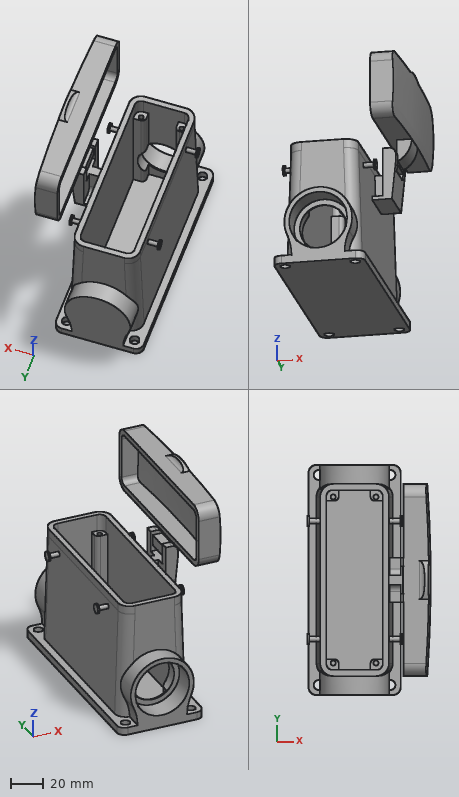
import cadquery as cq
import math

base_width = 57.8
base_length = 144.0
base_height = 5.2
base_corner_radius = 5.2
mount_hole_diameter = 6.0
mount_hole_x = 22.4
mount_hole_y = 65.6

body_length = 120.0
rim_width = 43.0
foot_width = 47.7
body_top = 83.8
rim_bottom = 78.4
corner_radius = 8.0
wall = 3.8
cavity_width = rim_width - 2 * wall
cavity_length = body_length - 2 * wall
cavity_radius = corner_radius - wall

column_width = 7.8
column_length = 6.8
column_radius = 2.9
column_top = 72.3
screw_hole_diameter = 3.2
screw_hole_depth = 11.5
screw_inset = 4.3

port_radius = 21.7
port_z = 27.2
port_flare_radius = 31.8
port_bore_radius = 18.5
port_bore_depth = 14.9
port_hole_radius = 14.9

pin_y = 36.9
pin_z = 73.7
pin_tip = 29.6
pin_radius = 1.6
pin_head_radius = 3.2
pin_head_length = 1.2

lid_front = 30.5
lid_crown = 47.7
lid_height = 43.1
lid_bottom = 99.0
lid_z = lid_bottom + lid_height / 2
lid_top = lid_bottom + lid_height
lid_crown_radius = 173.5
lid_end_sag = 2.2

tab_half_width = 12.0
tab_top = 144.5
tab_start = 40.5
tab_edge = 43.8
tab_ramp_radius = 3.6

bracket_half_width = 14.0
bracket_front = 28.8
bracket_back = 37.3
bracket_foot_back = 34.7
bracket_bottom = 58.5
bracket_top = 92.4
bracket_bend_z = 84.5
bracket_round = 4.3
slot_half_width = 8.7
slot_floor = 78.2
shelf_height = 2.3
web_half_width = 3.0
web_fillet = 4.0
arm_front = 36.6
arm_back = 46.3
arm_tip_z = 84.4
arm_curve_middle = (43.4, 90.2)
knuckle_front = 30.0
knuckle_bottom = 82.4
knuckle_top = 89.6


def rounded_box(width, length, height, radius, z):
    box = cq.Workplane("XY").box(width, length, height, centered=(True, True, False))
    return box.edges("|Z").fillet(radius).translate((0, 0, z))


def block(x_range, y_range, z_range):
    size = [high - low for low, high in (x_range, y_range, z_range)]
    corner = (x_range[0], y_range[0], z_range[0])
    return cq.Workplane("XY").box(*size, centered=False).translate(corner)


def side_prism(profile, half_width):
    """Extrude an XZ profile symmetrically about the Y = 0 plane."""
    return profile.extrude(half_width, both=True)


def make_base():
    base = rounded_box(base_width, base_length, base_height, base_corner_radius, 0)
    corners = [(sx * mount_hole_x, sy * mount_hole_y) for sx in (-1, 1) for sy in (-1, 1)]
    holes = cq.Workplane("XY").pushPoints(corners).circle(mount_hole_diameter / 2).extrude(base_height)
    return base.cut(holes)


def make_shell():
    half_foot = foot_width / 2
    half_rim = rim_width / 2
    profile = (
        cq.Workplane("XZ")
        .moveTo(-half_foot, base_height)
        .lineTo(half_foot, base_height)
        .lineTo(half_rim, rim_bottom)
        .lineTo(half_rim, body_top)
        .lineTo(-half_rim, body_top)
        .lineTo(-half_rim, rim_bottom)
        .close()
    )
    upright_edges = "not(|X or |Y)"
    return side_prism(profile, body_length / 2).edges(upright_edges).fillet(corner_radius)


def make_ports():
    """One long prism: a round barrel flaring into a pedestal on the base plate."""
    flare_angle = math.asin((port_z - base_height) / (port_radius + port_flare_radius))
    flare_x = (port_radius + port_flare_radius) * math.cos(flare_angle)
    foot_x = flare_x - port_flare_radius
    touch_x = port_radius * math.cos(flare_angle)
    touch_z = port_z - port_radius * math.sin(flare_angle)
    middle_x = flare_x - port_flare_radius * math.cos(flare_angle / 2)
    middle_z = base_height + port_flare_radius * math.sin(flare_angle / 2)
    return (
        cq.Workplane("XZ")
        .moveTo(-foot_x, 0)
        .lineTo(foot_x, 0)
        .lineTo(foot_x, base_height)
        .threePointArc((middle_x, middle_z), (touch_x, touch_z))
        .threePointArc((0, port_z + port_radius), (-touch_x, touch_z))
        .threePointArc((-middle_x, middle_z), (-foot_x, base_height))
        .close()
        .extrude(base_length / 2, both=True)
    )


def make_columns():
    columns = cq.Workplane("XY")
    for sx in (-1, 1):
        for sy in (-1, 1):
            x_edge = sx * cavity_width / 2
            y_edge = sy * cavity_length / 2
            column = (
                cq.Workplane("XY")
                .box(column_width, column_length, column_top - base_height, centered=(True, True, False))
                .edges("|Z")
                .edges("<X" if sx > 0 else ">X")
                .edges("<Y" if sy > 0 else ">Y")
                .fillet(column_radius)
                .translate((x_edge - sx * column_width / 2, y_edge - sy * column_length / 2, base_height))
            )
            hole = (
                cq.Workplane("XY", origin=(x_edge - sx * screw_inset, y_edge - sy * screw_inset, column_top))
                .circle(screw_hole_diameter / 2)
                .extrude(-screw_hole_depth)
            )
            columns = columns.add(column.cut(hole))
    return columns.combine()


def make_cable_entry():
    """Counterbored opening through the -Y port, also hollowing the columns beside it."""
    hole_depth = (base_length - cavity_length) / 2 + column_length
    start = cq.Workplane("XZ", origin=(0, -base_length / 2, port_z))
    bore = start.circle(port_bore_radius).extrude(-port_bore_depth)
    hole = start.circle(port_hole_radius).extrude(-hole_depth)
    return bore.union(hole)


def make_pin(side, y):
    root = side * cavity_width / 2
    shaft = cq.Workplane("YZ", origin=(root, y, pin_z)).circle(pin_radius).extrude(side * pin_tip - root)
    head = (
        cq.Workplane("YZ", origin=(side * pin_tip, y, pin_z))
        .circle(pin_head_radius)
        .extrude(-side * pin_head_length)
    )
    return shaft.union(head)


def crowned_solid(crown_x):
    """Solid of revolution whose +X side is the doubly curved back of the lid."""
    half = body_length / 2
    axis_x = lid_crown - lid_crown_radius
    return (
        cq.Workplane("XY", origin=(axis_x, 0, lid_z))
        .moveTo(0, -half)
        .lineTo(crown_x - lid_end_sag - axis_x, -half)
        .threePointArc((crown_x - axis_x, 0), (crown_x - lid_end_sag - axis_x, half))
        .lineTo(0, half)
        .close()
        .revolve(360, (0, 0, 0), (0, 1, 0))
    )


def lid_block(margin):
    return (
        cq.Workplane("YZ", origin=(lid_front, 0, lid_z))
        .rect(body_length - 2 * margin, lid_height - 2 * margin)
        .extrude(lid_crown - lid_front)
        .edges("|X")
        .fillet(corner_radius - margin)
    )


def make_thumb_tab():
    arch = (
        cq.Workplane("YZ", origin=(tab_start, 0, 0))
        .moveTo(-tab_half_width, lid_top)
        .threePointArc((0, tab_top), (tab_half_width, lid_top))
        .lineTo(tab_half_width, lid_z)
        .lineTo(-tab_half_width, lid_z)
        .close()
        .extrude(lid_crown - tab_start)
    )
    ramp = side_prism(
        cq.Workplane("XZ")
        .moveTo(tab_start, lid_top)
        .radiusArc((tab_edge, tab_top), -tab_ramp_radius)
        .lineTo(tab_start, tab_top)
        .close(),
        tab_half_width,
    )
    return arch.cut(ramp)


def make_lid():
    back = crowned_solid(lid_crown)
    shell = lid_block(0).union(make_thumb_tab()).intersect(back)
    pocket = lid_block(wall).intersect(crowned_solid(lid_crown - wall))
    return shell.cut(pocket)


def make_bracket():
    profile = (
        cq.Workplane("XZ")
        .moveTo(bracket_front, bracket_bottom)
        .lineTo(bracket_foot_back, bracket_bottom)
        .lineTo(bracket_back, bracket_bend_z)
        .lineTo(bracket_back, bracket_top - bracket_round)
        .radiusArc((bracket_back - bracket_round, bracket_top), -bracket_round)
        .lineTo(bracket_front, bracket_top)
        .close()
    )
    slot = block(
        (bracket_front, bracket_back),
        (-slot_half_width, slot_half_width),
        (slot_floor, bracket_top),
    )
    return side_prism(profile, bracket_half_width).cut(slot)


def make_bracket_support():
    """Shelf and upright web, joined by fillets, between the housing wall and the bracket."""
    start = cavity_width / 2
    shelf_top = bracket_bottom + shelf_height
    shelf = block(
        (start, bracket_front),
        (-bracket_half_width, bracket_half_width),
        (bracket_bottom, shelf_top),
    )
    web = block((start, bracket_front), (-web_half_width, web_half_width), (shelf_top, slot_floor))
    support = shelf.union(web)
    inner_corners = cq.selectors.BoxSelector(
        (start, -web_half_width - shelf_height, shelf_top - shelf_height / 2),
        (bracket_front, web_half_width + shelf_height, shelf_top + shelf_height / 2),
    )
    return support.edges("|X").edges(inner_corners).fillet(web_fillet)


def make_lid_arm():
    """Curved arm hanging from the lid, with a knuckle held between the bracket cheeks."""
    arm_root = lid_bottom + wall
    arm = (
        cq.Workplane("XZ")
        .moveTo(arm_front, arm_root)
        .lineTo(arm_back, lid_bottom)
        .threePointArc(arm_curve_middle, (arm_front, arm_tip_z))
        .close()
    )
    knuckle = block(
        (knuckle_front, bracket_back),
        (-slot_half_width, slot_half_width),
        (knuckle_bottom, knuckle_top),
    )
    return side_prism(arm, slot_half_width).union(knuckle)


cavity = rounded_box(cavity_width, cavity_length, body_top - base_height, cavity_radius, base_height)
result = make_shell().union(make_ports()).union(make_bracket_support()).union(make_base())
for side in (-1, 1):
    for pin_place in (-pin_y, pin_y):
        result = result.union(make_pin(side, pin_place))
result = result.cut(cavity).union(make_columns()).cut(make_cable_entry())
result = result.union(make_bracket()).union(make_lid_arm()).union(make_lid())